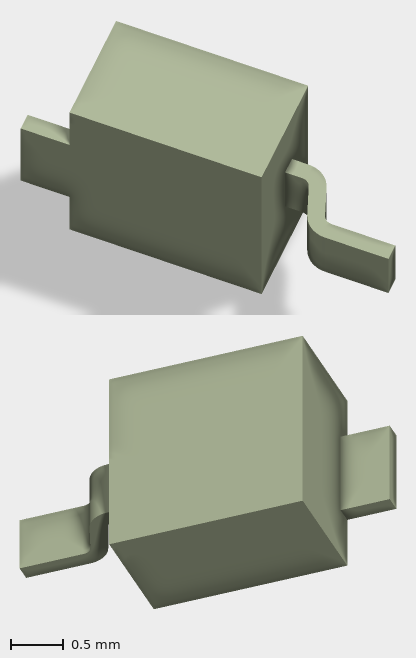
import cadquery as cq
import math

total_length = 3.75
housing_depth = 1.15
housing_width = 1.9
housing_left = 0.5
housing_right = 2.465

tab_thickness = 0.172
tab_width = 0.848
slug_depth = 0.6
slug_back_left = 0.695
slug_back_right = 2.18

lead_thickness = 0.17
lead_width = 0.555
lead_upper_y = 0.58
lead_lower_y = 0.025
lead_slope = 70.0
lead_slope_x = 2.768
bend_inner_radius = 0.1
bend_outer_radius = bend_inner_radius + lead_thickness


def extrude_centered(outline, width):
    """Extrude a closed XY outline by the width, symmetric about Z = 0."""
    return outline.extrude(width / 2, both=True)


def make_slug_core():
    """Trapezoidal slug running the full width of the housing."""
    outline = cq.Workplane("XY").polyline([
        (housing_left, 0),
        (housing_right, 0),
        (slug_back_right, slug_depth),
        (slug_back_left, slug_depth),
        (housing_left, tab_thickness),
    ]).close()
    return extrude_centered(outline, housing_width)


def make_slug():
    """Slug and its projecting tab as one solid."""
    tab_outline = cq.Workplane("XY").rect(housing_left, tab_thickness, centered=False)
    return make_slug_core().union(extrude_centered(tab_outline, tab_width))


def make_housing():
    """Moulded block with a matching recess for the slug."""
    length = housing_right - housing_left
    outline = cq.Workplane("XY").moveTo(housing_left, 0).rect(length, housing_depth, centered=False)
    return extrude_centered(outline, housing_width).cut(make_slug_core())


def make_lead():
    """Constant-thickness lead with two concentric bends, starting at the housing face."""
    slope = math.radians(lead_slope)
    slope_run = (lead_upper_y - lead_lower_y) / math.tan(slope)
    corner_shift = lead_thickness / 2 * math.tan(slope / 2)
    foot_x = lead_slope_x + slope_run
    upper_inner = (lead_slope_x - corner_shift, lead_upper_y)
    upper_outer = (lead_slope_x + corner_shift, lead_upper_y + lead_thickness)
    lower_outer = (foot_x - corner_shift, lead_lower_y)
    lower_inner = (foot_x + corner_shift, lead_lower_y + lead_thickness)

    outline = cq.Workplane("XY").polyline([
        (housing_right, lead_upper_y),
        upper_inner,
        lower_outer,
        (total_length, lead_lower_y),
        (total_length, lead_lower_y + lead_thickness),
        lower_inner,
        upper_outer,
        (housing_right, lead_upper_y + lead_thickness),
    ]).close()
    lead = extrude_centered(outline, lead_width)

    bends = [
        (upper_inner, bend_inner_radius),
        (upper_outer, bend_outer_radius),
        (lower_outer, bend_outer_radius),
        (lower_inner, bend_inner_radius),
    ]
    for (x, y), radius in bends:
        corner_edge = cq.selectors.NearestToPointSelector((x, y, 0))
        lead = lead.edges("|Z").edges(corner_edge).fillet(radius)
    return lead


housing = make_housing()
slug = make_slug()
lead = make_lead()

result = cq.Compound.makeCompound([
    housing.solids().val(),
    slug.solids().val(),
    lead.solids().val(),
])